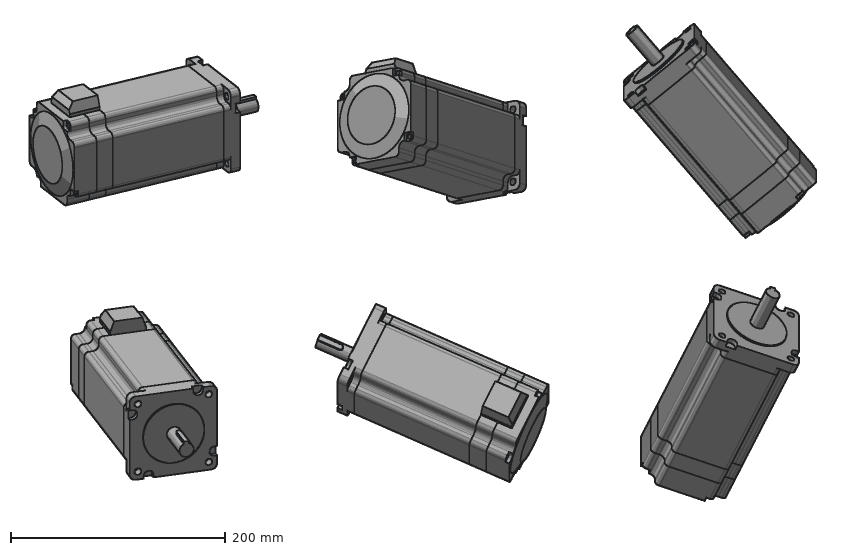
import cadquery as cq
import math


width = 86.0
half = width / 2
mount_hole_pitch = 69.5
mount_hole_diameter = 6.5
corner_relief = 29.0
relief_inner_radius = mount_hole_pitch / 2 - corner_relief
relief_edge_radius = 4.5

flange_length = 17.5
mount_pad_thickness = 10.0
mount_pad_radius = 6.0
pilot_diameter = 60.0
pilot_height = 1.5
stator_length = 118.7
ring_length = 17.3
cap_length = 24.0

overall_length = 221.5
dome_height = 4.5
shaft_diameter = 14.0
key_width = 5.0
key_length = 25.0
key_top = 9.0

screw_offset = 24.8
screw_from_axis = 38.5
screw_hole_diameter = 4.5

flange_recess_radius = 4.9
flange_recess_offset = 24.4
flange_recess_from_axis = 40.3
flange_recess_depth = 4.9
cap_recess_half_width = 3.3
cap_recess_depth = 4.0
cap_recess_radius = 2.5

dome_base_diameter = 81.0
dome_top_diameter = 55.8

connector_width = 35.5
connector_top_width = 27.7
connector_length = 32.0
connector_height = 13.7
connector_straight_height = 3.3
connector_chamfer_length = 5.3
connector_chamfer_height = connector_height / 2

stator_start = flange_length
ring_start = stator_start + stator_length
cap_start = ring_start + ring_length
cap_end = cap_start + cap_length
shaft_length = overall_length - cap_end - dome_height - pilot_height


def section(start):
    """Sketch plane across the axis; extrusions run towards -Y."""
    return cq.Workplane("XZ", origin=(0, -start, 0))


def quarter_turned(point, quarter):
    x, z = point
    for _ in range(quarter):
        x, z = -z, x
    return (x, z)


def on_every_side(shape):
    """The shape repeated at each quarter turn about the motor axis."""
    copies = shape
    for quarter in range(1, 4):
        copies = copies.union(shape.rotate((0, 0, 0), (0, 1, 0), 90 * quarter))
    return copies


def relieved_block(start, length):
    """Square bar with a rounded relief along each of its four corners."""
    side_end = corner_relief - relief_edge_radius
    edge_end = half - relief_edge_radius
    inner_end = corner_relief + relief_inner_radius
    outline = section(start).moveTo(half, -side_end)
    for quarter in range(4):
        turned = [
            quarter_turned(point, quarter)
            for point in (
                (half, side_end),
                (edge_end, corner_relief),
                (inner_end, corner_relief),
                (corner_relief, inner_end),
                (corner_relief, edge_end),
                (side_end, half),
            )
        ]
        outline = outline.lineTo(*turned[0]).tangentArcPoint(turned[1], relative=False)
        outline = outline.lineTo(*turned[2]).tangentArcPoint(turned[3], relative=False)
        outline = outline.lineTo(*turned[4]).tangentArcPoint(turned[5], relative=False)
    return outline.close().extrude(length)


def make_flange():
    """Front flange with mounting pads at its corners, a pilot and an open recess on each side."""
    pads = section(0).rect(width, width).extrude(mount_pad_thickness)
    pads = pads.edges("|Y").fillet(mount_pad_radius)
    pilot = section(0).circle(pilot_diameter / 2).extrude(-pilot_height)
    mount_holes = (
        section(0)
        .rect(mount_hole_pitch, mount_hole_pitch, forConstruction=True)
        .vertices()
        .circle(mount_hole_diameter / 2)
        .extrude(mount_pad_thickness)
    )
    recess_left = -flange_recess_offset - flange_recess_radius
    recess_right = -flange_recess_offset + flange_recess_radius
    recess = (
        section(0)
        .moveTo(recess_left, half)
        .lineTo(recess_left, flange_recess_from_axis)
        .tangentArcPoint((recess_right, flange_recess_from_axis), relative=False)
        .lineTo(recess_right, half)
        .close()
        .extrude(flange_recess_depth)
    )
    body = relieved_block(0, flange_length).union(pads).cut(on_every_side(recess))
    return body.union(pilot).cut(mount_holes)


def make_cap():
    """Rear cap with a conical dome and a recessed screw hole on each side."""
    recess_floor = cap_end - cap_recess_depth
    inner = screw_offset - cap_recess_half_width
    bottom = screw_from_axis - cap_recess_half_width
    recess = (
        section(recess_floor)
        .moveTo(inner, half)
        .lineTo(inner, bottom + cap_recess_radius)
        .tangentArcPoint((inner + cap_recess_radius, bottom), relative=False)
        .lineTo(corner_relief, bottom)
        .lineTo(corner_relief, half)
        .close()
        .extrude(cap_recess_depth)
    )
    screw_hole = (
        section(cap_start)
        .center(screw_offset, screw_from_axis)
        .circle(screw_hole_diameter / 2)
        .extrude(cap_length)
    )
    dome_slope = math.degrees(math.atan2((dome_base_diameter - dome_top_diameter) / 2, dome_height))
    dome = section(cap_end).circle(dome_base_diameter / 2).extrude(dome_height, taper=dome_slope)
    body = relieved_block(cap_start, cap_length).cut(on_every_side(recess.union(screw_hole)))
    return body.union(dome)


def make_shaft():
    """Shaft standing on the pilot, with a key that runs out at the shaft end."""
    shaft = section(-pilot_height).circle(shaft_diameter / 2).extrude(-shaft_length)
    shaft_end = pilot_height + shaft_length
    key_radius = key_width / 2
    key_inner_end = shaft_end - key_length
    key = (
        cq.Workplane("XY")
        .moveTo(-key_radius, shaft_end)
        .lineTo(-key_radius, key_inner_end + key_radius)
        .threePointArc((0, key_inner_end), (key_radius, key_inner_end + key_radius))
        .lineTo(key_radius, shaft_end)
        .close()
        .extrude(key_top)
    )
    return shaft.union(key)


def make_connector():
    """Tapered hood on the top side, sloped at the end nearest the dome."""
    top = half + connector_height
    shoulder = half + connector_straight_height
    hood = (
        section(ring_start)
        .polyline(
            [
                (-connector_width / 2, half),
                (connector_width / 2, half),
                (connector_width / 2, shoulder),
                (connector_top_width / 2, top),
                (-connector_top_width / 2, top),
                (-connector_width / 2, shoulder),
            ]
        )
        .close()
        .extrude(connector_length)
    )
    end = -ring_start - connector_length
    slope = (
        cq.Workplane("YZ")
        .polyline(
            [
                (end, top - connector_chamfer_height),
                (end + connector_chamfer_length, top),
                (end, top),
            ]
        )
        .close()
        .extrude(connector_width / 2, both=True)
    )
    return hood.cut(slope)


flange = make_flange()
stator = relieved_block(stator_start, stator_length)
ring = relieved_block(ring_start, ring_length)
cap = make_cap()
shaft = make_shaft()
connector = make_connector()

result = cq.Compound.makeCompound(
    [flange.val(), stator.val(), ring.val(), cap.val(), shaft.val(), connector.val()]
)